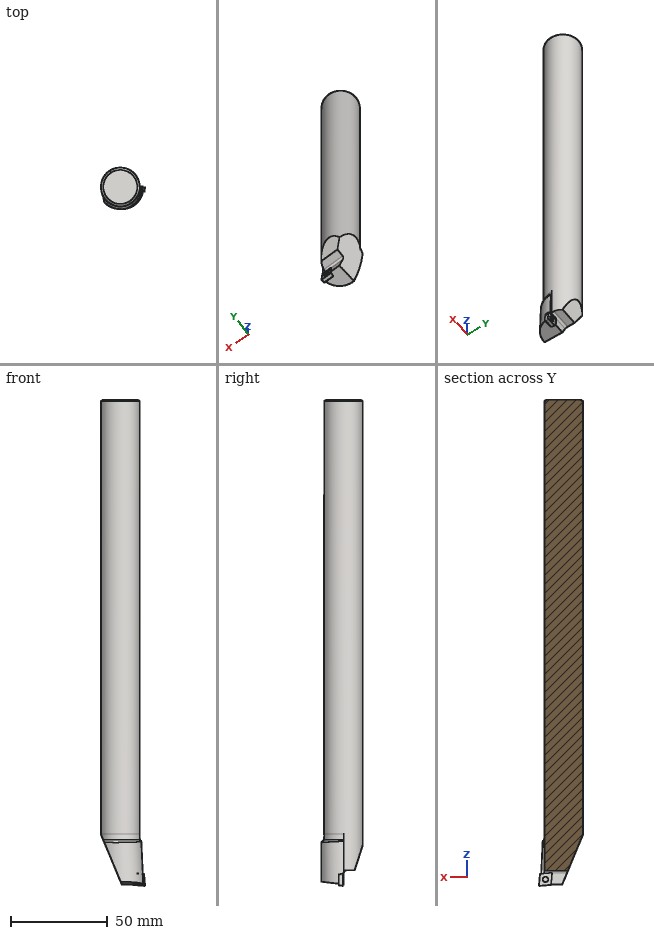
import cadquery as cq
import math

total_length = 251.2
bar_diameter = 20.0
bar_radius = bar_diameter / 2
bar_bottom = 27.0
top_chamfer_width = 1.3
top_chamfer_height = 0.8

head_radius = 11.0
head_center_y = -0.5
head_lean = 2.5
lean_pivot_z = 20.0
neck_bottom = 23.9
neck_flare = 0.13
neck_radius = bar_radius + neck_flare
shoulder_bottom = 18.8
head_overrun = 30.2

bevel_top = 26.6
bevel_foot_x = 1.0
end_face_z = 0.8
end_clearance = 7.0
relief_top = 21.0
relief_angle = 18.0
cutting_face_y = 0.3
pocket_floor = 8.0
pocket_fillet = 1.3
cut_reach = 50.2

insert_face_y = -0.3
insert_thickness = 2.3
insert_width = 6.3
insert_angle = 80.0
insert_clearance = 7.0
insert_lead = 5.0
nose_radius = 0.5
nose_x = 12.8
screw_hole_diameter = 2.8


def make_bar():
    """Round bar with a chamfered top end."""
    bar = cq.Workplane("XY").workplane(offset=bar_bottom).circle(bar_radius)
    bar = bar.extrude(total_length - bar_bottom)
    return bar.faces(">Z").edges().chamfer(top_chamfer_height, top_chamfer_width)


def make_shoulder():
    """Solid of revolution: a slightly widening neck, a conical shoulder, then a straight wall."""
    outer_radius = neck_radius + neck_bottom - shoulder_bottom
    return (
        cq.Workplane("XZ")
        .moveTo(0, bar_bottom)
        .lineTo(bar_radius, bar_bottom)
        .lineTo(neck_radius, neck_bottom)
        .lineTo(outer_radius, shoulder_bottom)
        .lineTo(outer_radius, -head_overrun)
        .lineTo(0, -head_overrun)
        .close()
        .revolve(360, (0, 0), (0, 1))
    )


def make_head_blank():
    """Leaning cylinder kept inside the shoulder, and inside the bar's radius above the cutting face."""
    cylinder = cq.Workplane("XY").workplane(offset=-head_overrun).circle(head_radius)
    cylinder = cylinder.extrude(2 * head_overrun)
    cylinder = cylinder.rotate((0, 0, 0), (0, 1, 0), -head_lean)
    cylinder = cylinder.translate((0, head_center_y, lean_pivot_z))
    bar_core = cq.Workplane("XY").workplane(offset=-head_overrun).circle(bar_radius)
    bar_core = bar_core.extrude(bar_bottom + head_overrun)
    below_cutting_face = cq.Workplane("XY").box(
        2 * cut_reach, cut_reach, 2 * cut_reach, centered=(True, False, True)
    )
    below_cutting_face = below_cutting_face.translate((0, cutting_face_y - cut_reach, 0))
    lower_half = cylinder.intersect(make_shoulder()).intersect(below_cutting_face)
    return lower_half.union(bar_core)


def make_side_envelope():
    """Prism along X: +Y relief, chip pocket and sloping end face."""
    slope = math.tan(math.radians(relief_angle))
    relief_foot_y = bar_radius - (relief_top - pocket_floor) * slope
    far_end_z = end_face_z + (cutting_face_y + cut_reach) * math.tan(math.radians(end_clearance))
    outline = (
        cq.Workplane("YZ", origin=(-cut_reach, 0, 0))
        .moveTo(-cut_reach, cut_reach)
        .lineTo(bar_radius, cut_reach)
        .lineTo(bar_radius, relief_top)
        .lineTo(relief_foot_y, pocket_floor)
        .lineTo(cutting_face_y + pocket_fillet, pocket_floor)
        .radiusArc((cutting_face_y, pocket_floor - pocket_fillet), -pocket_fillet)
        .lineTo(cutting_face_y, end_face_z)
        .lineTo(-cut_reach, far_end_z)
        .close()
    )
    return outline.extrude(2 * cut_reach)


def make_bevel_cut():
    """Wedge below the sloping flat on the -X side."""
    rise_per_x = bevel_top / (bar_radius + bevel_foot_x)
    return (
        cq.Workplane("XZ", origin=(0, cut_reach, 0))
        .moveTo(-bar_radius, bevel_top)
        .lineTo(bevel_foot_x, 0)
        .lineTo(-cut_reach, 0)
        .lineTo(-cut_reach, bevel_top + (cut_reach - bar_radius) * rise_per_x)
        .close()
        .extrude(2 * cut_reach)
    )


def make_insert_blank():
    """Insert without its hole; its flanks narrow away from the cutting face."""
    side = insert_width / math.sin(math.radians(insert_angle))
    corner_offset = nose_radius / math.sin(math.radians(insert_angle / 2)) / math.sqrt(2)
    corner_x = nose_x - nose_radius + corner_offset
    corner_z = nose_radius - corner_offset
    lead = math.radians(insert_lead)
    along = side * math.cos(lead)
    across = side * math.sin(lead)
    corners = [
        (corner_x, corner_z),
        (corner_x - across, corner_z + along),
        (corner_x - across - along, corner_z + along + across),
        (corner_x - along, corner_z + across),
    ]
    blank = cq.Workplane("XZ", origin=(0, insert_face_y, 0)).polyline(corners).close()
    blank = blank.extrude(insert_thickness, taper=insert_clearance)
    return blank.edges("not #Y").fillet(nose_radius)


def make_insert(blank):
    """Insert with its screw hole through the middle."""
    return blank.faces(">Y").workplane(centerOption="CenterOfMass").hole(screw_hole_diameter)


def make_seat(blank):
    """Recess for the insert, open to the cutting face."""
    opening = blank.faces(">Y").wires().toPending().workplane()
    opening = opening.extrude(cutting_face_y - insert_face_y, combine=False)
    return blank.union(opening)


insert_blank = make_insert_blank()
insert = make_insert(insert_blank)

head = make_head_blank().intersect(make_side_envelope())
holder = make_bar().union(head).cut(make_bevel_cut()).cut(make_seat(insert_blank))

result = cq.Compound.makeCompound([holder.val(), insert.val()])